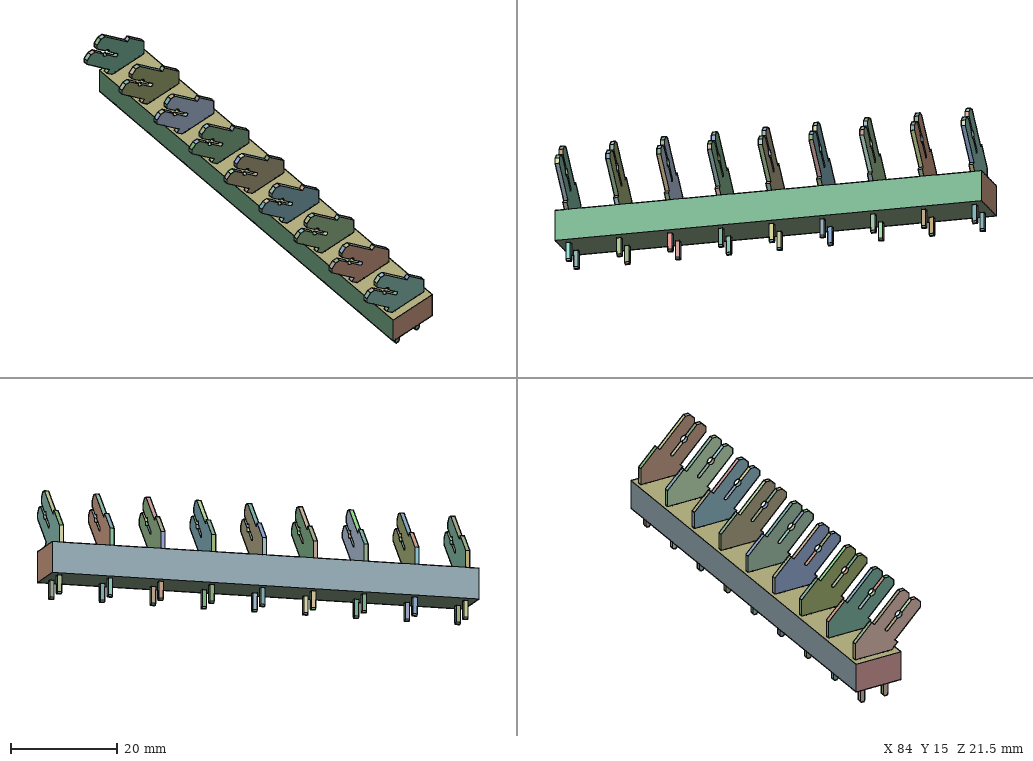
import cadquery as cq
import math

bar_length = 84.0
bar_depth = 9.8
bar_height = 6.0

contact_count = 9
contact_pitch = 10.0
contact_thickness = 0.8

leg_width = 1.0
leg_drop = 3.5
leg_taper_inset = 0.25
leg_taper_height = 0.3
leg_pitch = 5.0
rear_leg_setback = 2.35
leg_setbacks = [rear_leg_setback, rear_leg_setback + leg_pitch]

blade_rise = 12.0
heel_setback = 0.75
axis_setback = 3.0
fork_half_width = 3.2
shoulder_step = 0.8
shoulder_reach = 5.9
prong_chamfer = 0.74
slot_width = 0.705
slot_root_reach = 6.2
grip_hole_radius = 0.75
grip_hole_reach = 10.2

lean = math.radians(45)
shoulder_half_width = fork_half_width + shoulder_step
fork_reach = blade_rise / math.sin(lean) + prong_chamfer - fork_half_width


def side_point(setback, height):
    """Point in the YZ plane, by distance forward of the bar's back face and height above its top."""
    return (bar_depth / 2 - setback, bar_height + height)


def blade_point(reach, offset):
    """Point by distance along the leaning blade axis and offset to its upper side."""
    setback = axis_setback + reach * math.cos(lean) - offset * math.sin(lean)
    height = reach * math.sin(lean) + offset * math.cos(lean)
    return side_point(setback, height)


def side_plane():
    """YZ plane at the back of a contact that is centred on X = 0."""
    return cq.Workplane("YZ").workplane(offset=-contact_thickness / 2)


def make_leg(setback, tapered):
    """One leg from below the bar up to its top face, as a side outline extruded across the contact."""
    rear = setback - leg_width / 2
    front = setback + leg_width / 2
    foot = -bar_height - leg_drop
    if tapered:
        tip = [
            side_point(rear, foot + leg_taper_height),
            side_point(rear + leg_taper_inset, foot),
            side_point(front - leg_taper_inset, foot),
            side_point(front, foot + leg_taper_height),
        ]
    else:
        tip = [side_point(rear, foot), side_point(front, foot)]
    outline = [side_point(rear, 0), *tip, side_point(front, 0)]
    return side_plane().polyline(outline).close().extrude(contact_thickness)


def make_blade():
    """Leaning blade with shoulders, chamfered prongs, a slot and a grip hole."""
    heel_height = heel_setback - axis_setback + shoulder_half_width / math.cos(lean)
    toe_setback = axis_setback + shoulder_half_width / math.sin(lean)

    prong_inner = slot_width / 2
    prong_outer = fork_half_width
    chamfer_start = fork_reach - prong_chamfer
    upper_outline = [
        side_point(heel_setback, 0),
        side_point(heel_setback, heel_height),
        blade_point(shoulder_reach, shoulder_half_width),
        blade_point(shoulder_reach, fork_half_width),
        blade_point(chamfer_start, prong_outer),
        blade_point(fork_reach, prong_outer - prong_chamfer),
        blade_point(fork_reach, prong_inner + prong_chamfer),
        blade_point(chamfer_start, prong_inner),
    ]
    slot_straight_start = slot_root_reach + slot_width / 2
    lower_outline = [
        blade_point(chamfer_start, -prong_inner),
        blade_point(fork_reach, -prong_inner - prong_chamfer),
        blade_point(fork_reach, prong_chamfer - prong_outer),
        blade_point(chamfer_start, -prong_outer),
        blade_point(shoulder_reach, -fork_half_width),
        blade_point(shoulder_reach, -shoulder_half_width),
        side_point(toe_setback, 0),
    ]
    blade = (
        side_plane()
        .polyline(upper_outline)
        .lineTo(*blade_point(slot_straight_start, prong_inner))
        .threePointArc(
            blade_point(slot_root_reach, 0),
            blade_point(slot_straight_start, -prong_inner),
        )
        .polyline(lower_outline, includeCurrent=True)
        .close()
        .extrude(contact_thickness)
    )
    grip_hole = (
        side_plane()
        .moveTo(*blade_point(grip_hole_reach, 0))
        .circle(grip_hole_radius)
        .extrude(contact_thickness)
    )
    return blade.cut(grip_hole)


def make_contact(x):
    """One contact, blade and legs in a single solid."""
    contact = make_blade()
    for setback in leg_setbacks:
        contact = contact.union(make_leg(setback, tapered=True))
    return contact.translate((x, 0, 0))


def make_housing(contact_positions):
    """Plain bar with a fitting through hole for every leg."""
    bar = cq.Workplane("XY").box(bar_length, bar_depth, bar_height, centered=(True, True, False))
    for setback in leg_setbacks:
        leg_hole = make_leg(setback, tapered=False)
        for x in contact_positions:
            bar = bar.cut(leg_hole.translate((x, 0, 0)))
    return bar


first_contact_x = -contact_pitch * (contact_count - 1) / 2
contact_positions = [first_contact_x + contact_pitch * i for i in range(contact_count)]

housing = make_housing(contact_positions)
contacts = [make_contact(x) for x in contact_positions]

contact_solids = [contact.solids().val() for contact in contacts]
result = cq.Compound.makeCompound([housing.solids().val(), *contact_solids])